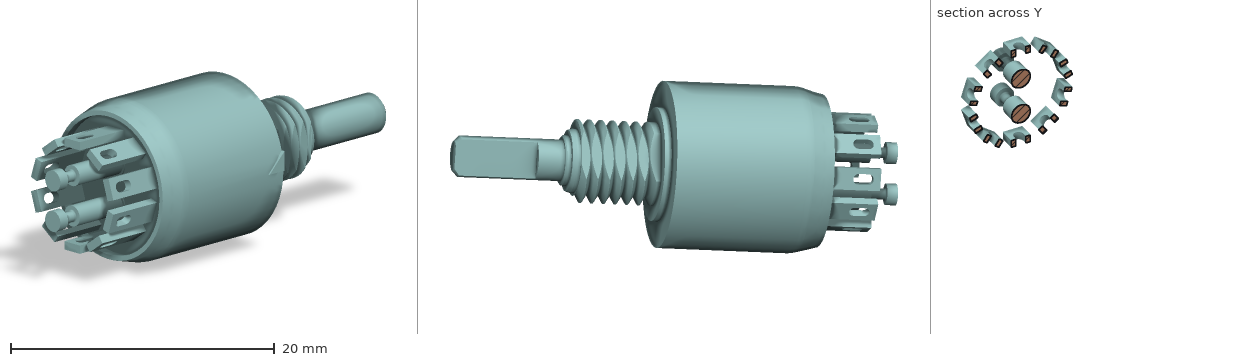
import cadquery as cq
import math


CASE_RADIUS = 6.35
CASE_REAR_Y = -12.33
TAPER_START_Y = -10.37
TAPER_ANGLE = 15.0
TAPER_BLEND_RADIUS = 2.4
RECESS_RADIUS = 5.45
RECESS_DEPTH = 0.75
FLANGE_RADIUS = 4.33
FLANGE_END_Y = 0.5

KEY_PROTRUSION = 0.125
KEY_LENGTH = 1.58
KEY_HEIGHT = 1.55

THREAD_RADIUS = 3.2
THREAD_ROOT_RADIUS = 2.5
THREAD_TURNS = 5
THREAD_TURNS_LENGTH = 4.55
THREAD_PITCH = THREAD_TURNS_LENGTH / THREAD_TURNS
THREAD_CREST_WIDTH = 0.05
THREAD_OVERCUT = 0.015
THREAD_END_Y = 6.63
GROOVE_TOP_Y = 1.58
GROOVE_RUNOUT_ANGLE = 225.0
GROOVE_START_ANGLE = 270.0 - GROOVE_RUNOUT_ANGLE
GROOVE_START_Y = GROOVE_TOP_Y - THREAD_PITCH * GROOVE_RUNOUT_ANGLE / 360
FLAT_DISTANCE = 2.6
COLLAR_RADIUS = 2.45
COLLAR_TIP_RADIUS = 2.35
COLLAR_TAPER_Y = 6.95
COLLAR_END_Y = 7.25
NOSE_RADIUS = 1.92
NOSE_CHAMFER = 0.1
NOSE_END_Y = 7.7

SHAFT_RADIUS = 1.58
SHAFT_INNER_END_Y = 0.0
SHAFT_END_Y = 16.05
SHAFT_CHAMFER = 0.4
SHAFT_FLAT_DISTANCE = 0.75
SHAFT_TURN = 18.0
SHAFT_FLAT_START_Y = 9.72

TERMINAL_COUNT = 10
TERMINAL_CIRCLE_RADIUS = 4.1
TERMINAL_WIDTH = 1.68
TERMINAL_THICKNESS = 0.65
TERMINAL_END_Y = -16.25
EYE_LENGTH = 1.58
EYE_WIDTH = 0.82
EYE_CENTRE_Y = -14.9

POST_SPACING = 3.2
POST_RADIUS = 0.82
POST_FOOT_RADIUS = 1.0
POST_FOOT_HEIGHT = 0.1
POST_END_Y = TERMINAL_END_Y
NECK_RADIUS = 0.4
NECK_FILLET = 0.1
HEAD_START_Y = -17.48
HEAD_RADIUS = 0.82
HEAD_END_Y = -18.3

RECESS_FLOOR_Y = CASE_REAR_Y + RECESS_DEPTH


def disc(radius, start_y, end_y):
    """Cylinder along Y from start_y to end_y."""
    return cq.Workplane("XZ", origin=(0, start_y, 0)).circle(radius).extrude(start_y - end_y)


def make_case():
    taper_drop = (TAPER_START_Y - CASE_REAR_Y) * math.tan(math.radians(TAPER_ANGLE))
    blend_length = TAPER_BLEND_RADIUS * math.tan(math.radians(TAPER_ANGLE / 2))
    blend_drop = TAPER_BLEND_RADIUS * (1 - math.cos(math.radians(TAPER_ANGLE)))
    blend_end_y = TAPER_START_Y - blend_length * math.cos(math.radians(TAPER_ANGLE))
    case = (
        cq.Workplane("XY")
        .moveTo(0, FLANGE_END_Y)
        .lineTo(FLANGE_RADIUS, FLANGE_END_Y)
        .lineTo(FLANGE_RADIUS, 0)
        .lineTo(CASE_RADIUS, 0)
        .lineTo(CASE_RADIUS, TAPER_START_Y + blend_length)
        .tangentArcPoint((CASE_RADIUS - blend_drop, blend_end_y), relative=False)
        .lineTo(CASE_RADIUS - taper_drop, CASE_REAR_Y)
        .lineTo(RECESS_RADIUS, CASE_REAR_Y)
        .lineTo(RECESS_RADIUS, RECESS_FLOOR_Y)
        .lineTo(0, RECESS_FLOOR_Y)
        .close()
        .revolve(360, (0, 0, 0), (0, 1, 0))
    )
    key = (
        cq.Workplane("YZ")
        .moveTo(0, 0)
        .lineTo(0, KEY_HEIGHT)
        .lineTo(-KEY_LENGTH, 0)
        .close()
        .extrude(CASE_RADIUS + KEY_PROTRUSION)
    )
    return case.union(key)


def make_thread_groove():
    """Helical V-groove, running out past the free end of the thread."""
    half_opening = (THREAD_PITCH - THREAD_CREST_WIDTH) / 2
    opening_radius = THREAD_RADIUS + THREAD_OVERCUT
    height = THREAD_END_Y + THREAD_PITCH - GROOVE_START_Y
    helix = cq.Wire.makeHelix(THREAD_PITCH, height, THREAD_ROOT_RADIUS)
    groove = (
        cq.Workplane("XZ")
        .moveTo(THREAD_ROOT_RADIUS, 0)
        .lineTo(opening_radius, half_opening)
        .lineTo(opening_radius, -half_opening)
        .close()
        .sweep(cq.Workplane(helix), isFrenet=True)
    )
    return (
        groove.rotate((0, 0, 0), (0, 0, 1), GROOVE_START_ANGLE)
        .rotate((0, 0, 0), (1, 0, 0), -90)
        .translate((0, GROOVE_START_Y, 0))
    )


def make_bushing():
    thread = disc(THREAD_RADIUS, FLANGE_END_Y, THREAD_END_Y).cut(make_thread_groove())
    flats = cq.Workplane("XY").box(2 * FLAT_DISTANCE, 2 * THREAD_END_Y, 2 * THREAD_RADIUS)
    nose = (
        cq.Workplane("XY")
        .moveTo(0, FLANGE_END_Y)
        .lineTo(COLLAR_RADIUS, FLANGE_END_Y)
        .lineTo(COLLAR_RADIUS, COLLAR_TAPER_Y)
        .lineTo(COLLAR_TIP_RADIUS, COLLAR_END_Y)
        .lineTo(NOSE_RADIUS, COLLAR_END_Y)
        .lineTo(NOSE_RADIUS, NOSE_END_Y - NOSE_CHAMFER)
        .lineTo(NOSE_RADIUS - NOSE_CHAMFER, NOSE_END_Y)
        .lineTo(0, NOSE_END_Y)
        .close()
        .revolve(360, (0, 0, 0), (0, 1, 0))
    )
    return thread.intersect(flats).union(nose)


def make_terminal(angle):
    """Flat blade with an oblong eye, turned about Y to its place on the terminal circle."""
    blade = cq.Workplane("XY").box(
        TERMINAL_WIDTH, RECESS_FLOOR_Y - TERMINAL_END_Y, TERMINAL_THICKNESS
    )
    blade = blade.translate((0, (RECESS_FLOOR_Y + TERMINAL_END_Y) / 2, 0))
    eye = (
        cq.Workplane("XY")
        .center(0, EYE_CENTRE_Y)
        .slot2D(EYE_LENGTH, EYE_WIDTH, 90)
        .extrude(TERMINAL_THICKNESS, both=True)
    )
    blade = blade.cut(eye).translate((0, 0, TERMINAL_CIRCLE_RADIUS))
    return blade.rotate((0, 0, 0), (0, 1, 0), angle)


def make_post(centre_z):
    """Round post on a low foot, with a filleted neck and a round head."""
    post = (
        cq.Workplane("XY")
        .moveTo(0, RECESS_FLOOR_Y)
        .lineTo(POST_FOOT_RADIUS, RECESS_FLOOR_Y)
        .lineTo(POST_FOOT_RADIUS, RECESS_FLOOR_Y - POST_FOOT_HEIGHT)
        .lineTo(POST_RADIUS, RECESS_FLOOR_Y - POST_FOOT_HEIGHT)
        .lineTo(POST_RADIUS, POST_END_Y)
        .lineTo(NECK_RADIUS + NECK_FILLET, POST_END_Y)
        .radiusArc((NECK_RADIUS, POST_END_Y - NECK_FILLET), -NECK_FILLET)
        .lineTo(NECK_RADIUS, HEAD_START_Y + NECK_FILLET)
        .radiusArc((NECK_RADIUS + NECK_FILLET, HEAD_START_Y), -NECK_FILLET)
        .lineTo(HEAD_RADIUS, HEAD_START_Y)
        .lineTo(HEAD_RADIUS, HEAD_END_Y)
        .lineTo(0, HEAD_END_Y)
        .close()
        .revolve(360, (0, 0, 0), (0, 1, 0))
    )
    return post.translate((0, 0, centre_z))


def make_housing():
    housing = make_case().union(make_bushing())
    for index in range(TERMINAL_COUNT):
        housing = housing.union(make_terminal(index * 360 / TERMINAL_COUNT))
    for centre_z in (-POST_SPACING / 2, POST_SPACING / 2):
        housing = housing.union(make_post(centre_z))
    shaft_bore = disc(SHAFT_RADIUS, SHAFT_INNER_END_Y, NOSE_END_Y)
    return housing.cut(shaft_bore)


def make_shaft():
    shaft = disc(SHAFT_RADIUS, SHAFT_INNER_END_Y, SHAFT_END_Y).faces(">Y").chamfer(SHAFT_CHAMFER)
    flat_cut = (
        cq.Workplane("XY")
        .moveTo(-SHAFT_FLAT_DISTANCE, SHAFT_FLAT_START_Y)
        .lineTo(-SHAFT_RADIUS, SHAFT_FLAT_START_Y)
        .lineTo(-SHAFT_RADIUS, SHAFT_END_Y)
        .lineTo(-SHAFT_FLAT_DISTANCE, SHAFT_END_Y)
        .close()
        .extrude(SHAFT_RADIUS, both=True)
    )
    return shaft.cut(flat_cut).rotate((0, 0, 0), (0, 1, 0), -SHAFT_TURN)


housing = make_housing()
shaft = make_shaft()

result = cq.Compound.makeCompound([housing.solids().val(), shaft.solids().val()])